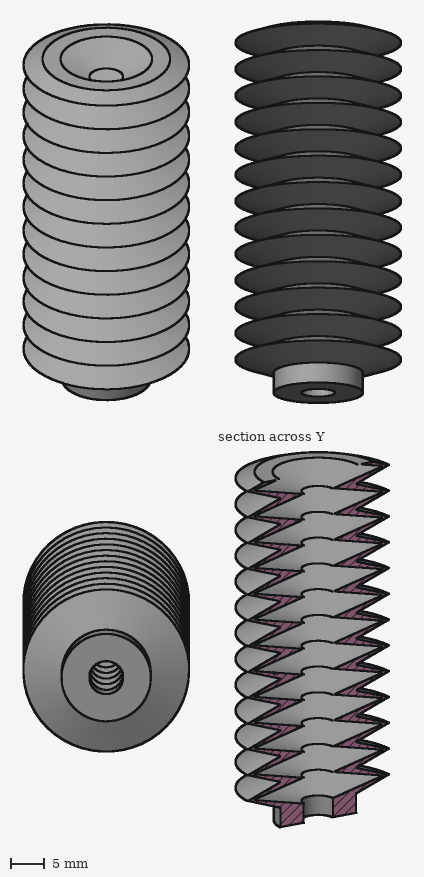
import cadquery as cq

total_height = 54.0
hub_height = 3.0
ridge_radius = 24.45 / 2
root_radius = 6.6
cavity_ridge_radius = 11.0
bore_radius = 2.5
full_folds = 12
top_fold_share = 0.75

pitch = (total_height - hub_height) / (full_folds + top_fold_share)
flank_height = pitch / 2
cut_share = (top_fold_share * pitch - flank_height) / flank_height


def radius_at_cut(valley, ridge):
    """Radius where the flat top crosses the upper flank of the top fold."""
    return ridge + cut_share * (valley - ridge)


def folded_body(valley, ridge):
    """Solid of revolution about Z: a cylindrical hub topped by a stack of conical folds."""
    outline = [(0, 0), (valley, 0), (valley, hub_height)]
    for fold in range(full_folds):
        fold_bottom = hub_height + fold * pitch
        outline.append((ridge, fold_bottom + flank_height))
        outline.append((valley, fold_bottom + pitch))
    top_fold_bottom = hub_height + full_folds * pitch
    outline.append((ridge, top_fold_bottom + flank_height))
    outline.append((radius_at_cut(valley, ridge), total_height))
    outline.append((0, total_height))
    return cq.Workplane("XZ").polyline(outline).close().revolve(360, (0, 0, 0), (0, 1, 0))


outer_body = folded_body(root_radius, ridge_radius)
cavity = folded_body(bore_radius, cavity_ridge_radius)
result = outer_body.cut(cavity)